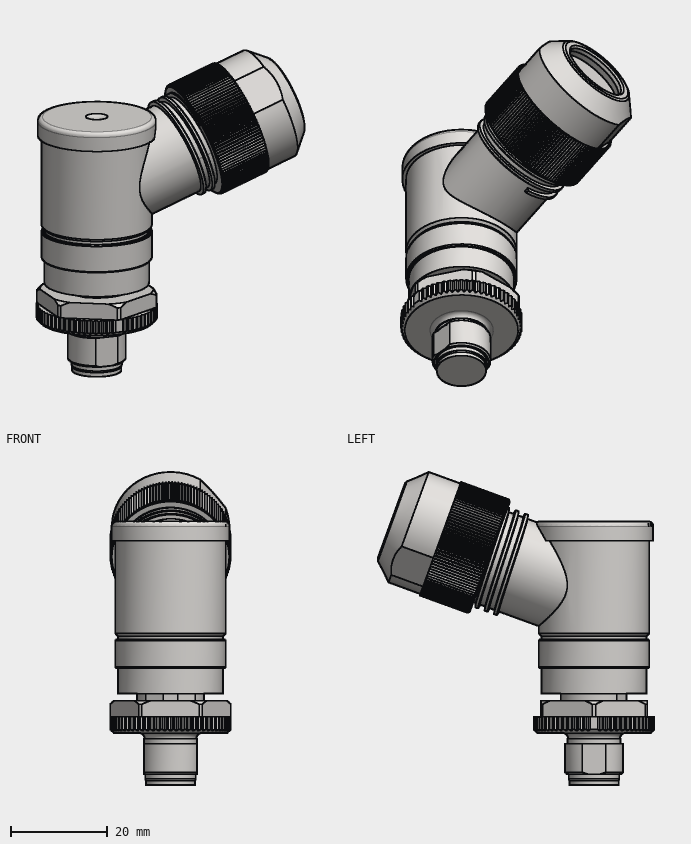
import cadquery as cq
import math


TIP_R = 5.1
TIP_TOP = 0.9
TIP_RING_R = 5.25
TIP_RING_BOTTOM = 1.3
INSERT_BOTTOM = 2.25
INSERT_R = 6.0
INSERT_TOP = 8.55
INSERT_CHAMFER = 0.4
INSERT_FLAT = 5.5
PLUG_NECK_R = 5.5
PLUG_NECK_TOP = 9.6
FLARE_R = 5.4
FLARE_ARC = 1.15

NUT_BOTTOM = PLUG_NECK_TOP + FLARE_ARC
NUT_R = 12.5
NUT_KNURL_TOP = 14.1
NUT_TOP = 17.5
NUT_KNURL_CHAMFER = 0.8
NUT_HEX_CHAMFER = 0.8
NUT_ACROSS_FLATS = 22.0
NUT_TEETH = 64
NUT_TOOTH_DEPTH = 0.3
NUT_CREST_SHARE = 0.3
NUT_PLAIN_GROOVES = (0, NUT_TEETH // 2)

STEM_R = 6.9
STEM_FRONT_FLAT = 6.7
STEM_SIDE_FLAT = 6.6
STEM_FLAT_ANGLE = 30
SLEEVE_BOTTOM = 18.9
SLEEVE_R = 10.9
BAND_BOTTOM = 24.15
BAND_TOP = 30.1
BODY_R = 11.45
BAND_CHAMFER = 0.25
GROOVE_TOP = 30.75
BODY_BOTTOM = 31.3
COLLAR_BOTTOM = 50.5
COLLAR_R = 12.25
COLLAR_TOP = 54.5
COLLAR_FILLET = 1.0
DIMPLE_R = 2.25
DIMPLE_DEPTH = 0.45

BRANCH_TILT = 20
BRANCH_Z = 39.35
BRANCH_R = 10.05
GLAND_R = 12.5
GLAND_START = 22.9
GLAND_KNURL_END = 33.8
GLAND_TEETH = 120
GLAND_TOOTH_DEPTH = 0.4
GLAND_CHAMFER = 0.4
CAP_R = 12.2
CAP_CONE_START = 40.8
CAP_END = 44.6
CAP_END_R = 8.8
CAP_RIM_WIDTH = 0.5
CAP_RIM_DROP = 0.25
CAP_FLAT = 11.45
CAP_FLAT_ANGLES = (-40, 140)
BORE_MOUTH_R = 7.2
BORE_R = 6.8
BORE_CHAMFER_DEPTH = 0.45
BORE_LIP_DEPTH = 1.35
BORE_FLOOR_R = 7.3
BORE_DEPTH = 2.8

THREAD_PITCH = 2.1
THREAD_START = 17.75
THREAD_START_ANGLE = 90
THREAD_OPEN_TURNS = 2.2
THREAD_COVERED_TURNS = 0.6
THREAD_CREST_R = 10.9
THREAD_ROOT_WIDTH = 1.05
THREAD_CREST_WIDTH = 0.65
THREAD_SINK = 0.2


def polar(radius, degrees):
    angle = math.radians(degrees)
    return radius * math.cos(angle), radius * math.sin(angle)


def turned(profile):
    """Solid of revolution about Z from (radius, height) points."""
    return cq.Workplane("XZ").polyline(profile).close().revolve(360, (0, 0, 0), (0, 1, 0))


def knurled_ring(radius, depth, teeth, crest_share, bottom, top, left_out=()):
    """Toothed disc with V grooves; a crest share of zero gives sharp teeth."""
    pitch = 360 / teeth
    half_groove = (1 - crest_share) * pitch / 2
    outline = []
    for groove in range(teeth):
        if groove in left_out:
            continue
        middle = groove * pitch
        outline.append(polar(radius, middle - half_groove))
        outline.append(polar(radius - depth, middle))
        if crest_share:
            outline.append(polar(radius, middle + half_groove))
    return cq.Workplane("XY").workplane(offset=bottom).polyline(outline).close().extrude(top - bottom)


def cut_flat(solid, distance, degrees, bottom, top):
    """Cut away what lies beyond a plane at a distance from Z, facing the given direction."""
    reach = 2 * NUT_R
    block = (
        cq.Workplane("XY")
        .box(reach, 2 * reach, top - bottom, centered=(False, True, False))
        .translate((distance, 0, bottom))
        .rotate((0, 0, 0), (0, 0, 1), degrees)
    )
    return solid.cut(block)


def make_plug_tip():
    tip = turned([
        (0, 0),
        (TIP_R, 0),
        (TIP_R, TIP_TOP),
        (TIP_RING_R, TIP_RING_BOTTOM),
        (TIP_RING_R, INSERT_BOTTOM),
        (INSERT_R - INSERT_CHAMFER, INSERT_BOTTOM),
        (INSERT_R, INSERT_BOTTOM + INSERT_CHAMFER),
        (INSERT_R, INSERT_TOP),
        (PLUG_NECK_R, INSERT_TOP),
        (PLUG_NECK_R, PLUG_NECK_TOP),
        (0, PLUG_NECK_TOP),
    ])
    for side in (0, 180):
        tip = cut_flat(tip, INSERT_FLAT, side, INSERT_BOTTOM, INSERT_TOP)
    flare_bend = FLARE_ARC * (1 - math.sqrt(0.5))
    flare = (
        cq.Workplane("XZ")
        .moveTo(0, PLUG_NECK_TOP)
        .lineTo(FLARE_R, PLUG_NECK_TOP)
        .threePointArc(
            (FLARE_R + flare_bend, NUT_BOTTOM - flare_bend),
            (FLARE_R + FLARE_ARC, NUT_BOTTOM),
        )
        .lineTo(0, NUT_BOTTOM)
        .close()
        .revolve(360, (0, 0, 0), (0, 1, 0))
    )
    return tip.union(flare)


def make_nut():
    knurl = knurled_ring(
        NUT_R, NUT_TOOTH_DEPTH, NUT_TEETH, NUT_CREST_SHARE, NUT_BOTTOM, NUT_KNURL_TOP, NUT_PLAIN_GROOVES
    )
    corner_diameter = NUT_ACROSS_FLATS / math.cos(math.radians(30))
    hexagon = (
        cq.Workplane("XY")
        .workplane(offset=NUT_KNURL_TOP)
        .polygon(6, corner_diameter)
        .extrude(NUT_TOP - NUT_KNURL_TOP)
    )
    envelope = turned([
        (0, NUT_BOTTOM),
        (NUT_R - NUT_KNURL_CHAMFER, NUT_BOTTOM),
        (NUT_R, NUT_BOTTOM + NUT_KNURL_CHAMFER),
        (NUT_R, NUT_TOP - NUT_HEX_CHAMFER),
        (NUT_R - NUT_HEX_CHAMFER, NUT_TOP),
        (0, NUT_TOP),
    ])
    return knurl.union(hexagon).intersect(envelope)


def make_stem():
    stem = cq.Workplane("XY").workplane(offset=NUT_TOP).circle(STEM_R).extrude(SLEEVE_BOTTOM - NUT_TOP)
    stem = cut_flat(stem, STEM_FRONT_FLAT, -90, NUT_TOP, SLEEVE_BOTTOM)
    for turn in (-STEM_FLAT_ANGLE, STEM_FLAT_ANGLE):
        stem = cut_flat(stem, STEM_SIDE_FLAT, -90 + turn, NUT_TOP, SLEEVE_BOTTOM)
    return stem


def make_column():
    lower = turned([
        (0, SLEEVE_BOTTOM),
        (SLEEVE_R, SLEEVE_BOTTOM),
        (SLEEVE_R, BAND_BOTTOM),
        (BODY_R - BAND_CHAMFER, BAND_BOTTOM),
        (BODY_R, BAND_BOTTOM + BAND_CHAMFER),
        (BODY_R, BAND_TOP - BAND_CHAMFER),
        (BODY_R - BAND_CHAMFER, BAND_TOP),
        (SLEEVE_R, BAND_TOP),
        (SLEEVE_R, GROOVE_TOP),
        (BODY_R, BODY_BOTTOM),
        (BODY_R, COLLAR_BOTTOM),
        (0, COLLAR_BOTTOM),
    ])
    collar = (
        cq.Workplane("XY")
        .workplane(offset=COLLAR_BOTTOM)
        .circle(COLLAR_R)
        .extrude(COLLAR_TOP - COLLAR_BOTTOM)
        .faces(">Z")
        .edges()
        .fillet(COLLAR_FILLET)
    )
    return lower.union(collar)


def make_dimple():
    ball_radius = (DIMPLE_R**2 + DIMPLE_DEPTH**2) / (2 * DIMPLE_DEPTH)
    return cq.Workplane("XY").sphere(ball_radius).translate((0, 0, COLLAR_TOP - DIMPLE_DEPTH + ball_radius))


def thread_section(first_turn, turns):
    """Part of the right-handed thread ridge, beginning a number of turns after the thread start."""
    root_r = BRANCH_R - THREAD_SINK
    helix = cq.Wire.makeHelix(THREAD_PITCH, THREAD_PITCH * turns, root_r)
    ridge = (
        cq.Workplane("XZ")
        .polyline([
            (root_r, -THREAD_ROOT_WIDTH / 2),
            (THREAD_CREST_R, -THREAD_CREST_WIDTH / 2),
            (THREAD_CREST_R, THREAD_CREST_WIDTH / 2),
            (root_r, THREAD_ROOT_WIDTH / 2),
        ])
        .close()
        .sweep(cq.Workplane(obj=helix), isFrenet=True)
    )
    start_angle = THREAD_START_ANGLE + 360 * first_turn
    start_height = THREAD_START + THREAD_PITCH * first_turn
    return ridge.rotate((0, 0, 0), (0, 0, 1), start_angle).translate((0, 0, start_height))


def make_gland():
    """Knurled cable gland with its conical cap, along Z."""
    knurl = knurled_ring(GLAND_R, GLAND_TOOTH_DEPTH, GLAND_TEETH, 0, GLAND_START, GLAND_KNURL_END)
    envelope = turned([
        (0, GLAND_START),
        (GLAND_R - GLAND_CHAMFER, GLAND_START),
        (GLAND_R, GLAND_START + GLAND_CHAMFER),
        (GLAND_R, GLAND_KNURL_END),
        (0, GLAND_KNURL_END),
    ])
    cap = turned([
        (0, GLAND_KNURL_END),
        (CAP_R, GLAND_KNURL_END),
        (CAP_R, CAP_CONE_START),
        (CAP_END_R, CAP_END - CAP_RIM_DROP),
        (CAP_END_R - CAP_RIM_WIDTH, CAP_END),
        (BORE_MOUTH_R, CAP_END),
        (BORE_R, CAP_END - BORE_CHAMFER_DEPTH),
        (BORE_R, CAP_END - BORE_LIP_DEPTH),
        (BORE_FLOOR_R, CAP_END - BORE_DEPTH),
        (0, CAP_END - BORE_DEPTH),
    ])
    for direction in CAP_FLAT_ANGLES:
        cap = cut_flat(cap, CAP_FLAT, direction, GLAND_KNURL_END, CAP_END)
    return knurl.intersect(envelope).union(cap)


def make_branch():
    """Neck, thread and gland, built along Z and then tilted towards +Y."""
    branch = (
        cq.Workplane("XY")
        .circle(BRANCH_R)
        .extrude(GLAND_START)
        .union(thread_section(0, THREAD_OPEN_TURNS))
        .union(thread_section(THREAD_OPEN_TURNS, THREAD_COVERED_TURNS))
        .union(make_gland())
    )
    return branch.rotate((0, 0, 0), (1, 0, 0), BRANCH_TILT - 90).translate((0, 0, BRANCH_Z))


result = (
    make_plug_tip()
    .union(make_nut())
    .union(make_stem())
    .union(make_column())
    .union(make_branch())
    .cut(make_dimple())
)